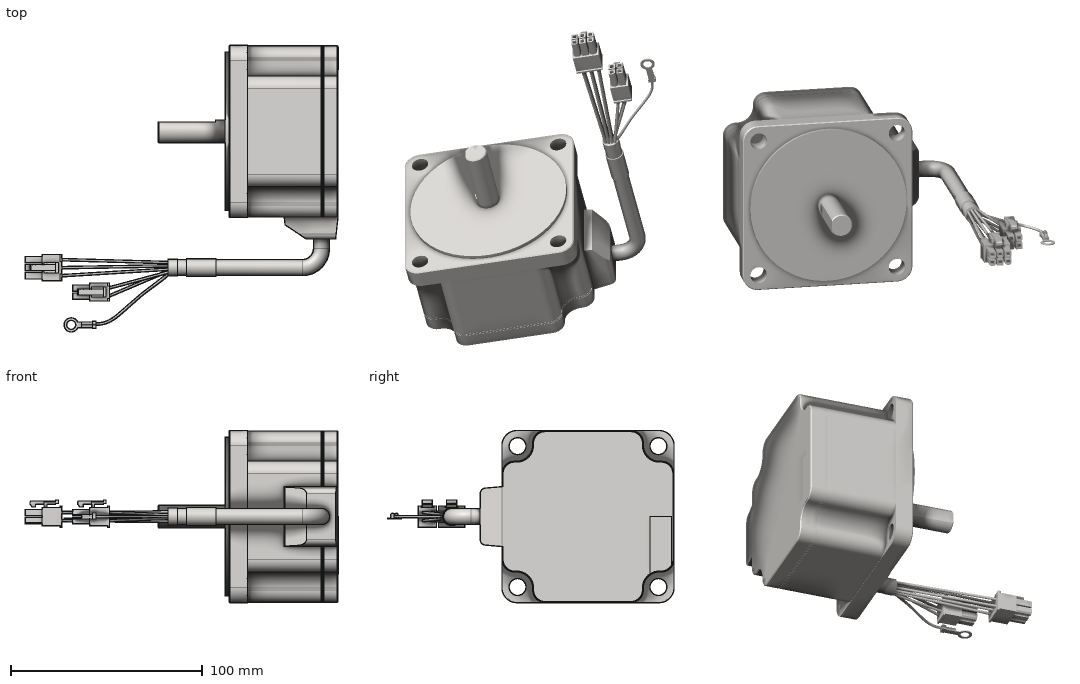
import cadquery as cq
import math


flange_size = 90.0
flange_thickness = 9.7
flange_corner_radius = 8.0
flange_edge_chamfer = 0.5
mount_hole_diameter = 8.7
mount_hole_spacing = 73.5

pilot_diameter = 83.0
pilot_height = 2.0

shaft_diameter = 12.0
shaft_length = 37.0
shaft_flat_length = 30.0
shaft_flat_depth = 1.0
shaft_tip_chamfer = 0.5

body_half = 44.8
body_rear = 57.0
body_rear_chamfer = 0.5
body_shoulder_radius = 6.4
body_flat_half = 22.5
corner_notch_radius = 8.4

seam_front = 48.1
seam_width = 0.5
seam_pitch = 1.0
seam_count = 2
seam_depth = 0.15

label_thickness = 0.2
label_y_min = 32.3
label_y_max = 43.7
label_height = 30.0

boot_front = 28.8
boot_rear = body_rear
boot_lip_front = 29.3
boot_lip_drop = 4.0
boot_slope_end = 40.5
boot_outer_rear = 55.75
boot_bottom = -56.3
boot_base_half_height = 15.7
boot_outer_half_height = 14.7
boot_edge_radius = 3.0

cable_diameter = 8.5
cable_outlet_x = 48.3
cable_y = -71.1
cable_bend_radius = 10.0
cable_end_x = -31.9
sleeve_diameter = 9.5
sleeve_start_x = -22.1
sleeve_length = 15.4
tape_diameter = 8.8
tape_length = 5.0
wire_diameter = 1.4
wire_root = 1.0
wire_seat = 0.3
power_wire_ends = [(2.6, 1.6), (0.9, 2.4), (-0.8, 2.4)]
signal_wire_ends = [(-2.2, 2.4), (-1.4, 0.85)]
ground_wire_end = -2.8
ground_wire_start_y = -100.6
ground_wire_waypoints = [(-57.9, -96.0), (-44.5, -84.4)]
ground_wire_end_slope = 0.9

pin_pitch = 4.2
cell_size = 3.4
cell_opening = 2.0
cell_depth = 5.0
cell_corner_chamfer = 0.8
cell_length = 8.9
connector_length = 19.3
connector_margin = 5.4
housing_half_height = 4.8
rear_rim_half_height = 5.6
rear_rim_thickness = 1.0
rear_rim_gap = 6.5

latch_arm_width = 3.1
latch_tail_width = 5.4
latch_front = 2.6
latch_hook_length = 3.0
latch_hook_slope = 1.2
latch_nose_bevel = 0.5
latch_hook_bottom = 4.9
latch_underside = 6.4
latch_tail_top = 7.6
latch_top = 8.25
latch_lip_top = 8.7
latch_lip_underside = 6.8
latch_lip_front = 16.0
latch_rear = 17.5
latch_stem_front = 9.9
latch_stem_thickness = 1.6

power_connector_x = -106.4
power_connector_y = -71.15
power_connector_columns = 3
signal_connector_x = -81.55
signal_connector_y = -83.85
signal_connector_columns = 2

ring_x = -82.3
ring_y = -101.0
ring_outer_diameter = 7.48
ring_hole_diameter = 4.6
ring_base = -1.2
ring_thickness = 0.55
ring_tongue_width = 3.1
barrel_front_x = -76.8
barrel_rear_x = -71.3
barrel_top = 1.0
crimp_rear_x = -69.3
crimp_lobe_radius = 1.0
crimp_top = 1.8



def box(x_range, y_range, z_range):
    """Axis-aligned block between pairs of limits."""
    sizes = [limits[1] - limits[0] for limits in (x_range, y_range, z_range)]
    corner = (x_range[0], y_range[0], z_range[0])
    return cq.Workplane("XY").box(*sizes, centered=False).translate(corner)


def rod_x(diameter, x_start, x_end, y=0.0, z=0.0):
    """Round bar along X."""
    return cq.Workplane("YZ", origin=(x_start, y, z)).circle(diameter / 2).extrude(x_end - x_start)




def turned(y, z, quarter):
    """Turn a point of the YZ plane about X by a number of quarter turns."""
    angle = -quarter * math.pi / 2
    return (
        y * math.cos(angle) - z * math.sin(angle),
        y * math.sin(angle) + z * math.cos(angle),
    )


def body_profile(x, inset=0.0):
    """Square section with a shouldered concave notch at each corner, on a plane across X."""
    half = body_half - inset
    radius = body_shoulder_radius - inset
    flat = body_flat_half
    wall = flat + radius
    notch_radius = corner_notch_radius + inset
    notch_end = wall + notch_radius
    shoulder_mid = radius * math.sin(math.pi / 4)
    notch_mid = notch_end - notch_radius * math.sin(math.pi / 4)
    shoulder_center = half - radius

    section = cq.Workplane("YZ", origin=(x, 0, 0)).moveTo(-flat, half)
    for quarter in range(4):
        first_shoulder_start = turned(flat, half, quarter)
        first_shoulder_mid = turned(flat + shoulder_mid, shoulder_center + shoulder_mid, quarter)
        first_shoulder_end = turned(wall, shoulder_center, quarter)
        notch_start = turned(wall, notch_end, quarter)
        notch_middle = turned(notch_mid, notch_mid, quarter)
        notch_finish = turned(notch_end, wall, quarter)
        second_shoulder_start = turned(shoulder_center, wall, quarter)
        second_shoulder_mid = turned(shoulder_center + shoulder_mid, flat + shoulder_mid, quarter)
        second_shoulder_end = turned(half, flat, quarter)
        section = section.lineTo(*first_shoulder_start)
        section = section.threePointArc(first_shoulder_mid, first_shoulder_end)
        section = section.lineTo(*notch_start)
        section = section.threePointArc(notch_middle, notch_finish)
        section = section.lineTo(*second_shoulder_start)
        section = section.threePointArc(second_shoulder_mid, second_shoulder_end)
    return section.close()


def make_flange():
    flange = cq.Workplane("YZ").rect(flange_size, flange_size).extrude(flange_thickness)
    flange = flange.edges("|X").fillet(flange_corner_radius)
    flange = flange.faces("<X").edges().chamfer(flange_edge_chamfer)
    holes = (
        cq.Workplane("YZ")
        .rect(mount_hole_spacing, mount_hole_spacing, forConstruction=True)
        .vertices()
        .circle(mount_hole_diameter / 2)
        .extrude(flange_thickness)
    )
    return flange.cut(holes)


def make_body():
    """Body behind the flange, with shallow parting grooves around it near the rear."""
    body = body_profile(flange_thickness).extrude(body_rear - flange_thickness)
    body = body.faces(">X").chamfer(body_rear_chamfer)
    for index in range(seam_count):
        x = seam_front + index * seam_pitch
        groove = body_profile(x).extrude(seam_width).cut(body_profile(x, seam_depth).extrude(seam_width))
        body = body.cut(groove)
    return body


def make_label():
    """Thin plate on the rear face, trimmed to the outline of the chamfered face."""
    plate = box(
        (body_rear, body_rear + label_thickness),
        (label_y_min, label_y_max),
        (-label_height, 0),
    )
    return plate.intersect(body_profile(body_rear, body_rear_chamfer).extrude(label_thickness))


def make_shaft():
    shaft = rod_x(shaft_diameter, -shaft_length, 0).faces("<X").chamfer(shaft_tip_chamfer)
    radius = shaft_diameter / 2
    flat = box(
        (-shaft_length, shaft_flat_length - shaft_length),
        (radius - shaft_flat_depth, radius),
        (-radius, radius),
    )
    return shaft.cut(flat)


def make_boot():
    """Sloped outlet on the -Y side; its outer faces draft inward and its long edges are round."""
    side = (
        cq.Workplane("XY", origin=(0, 0, -boot_base_half_height))
        .polyline(
            [
                (boot_front, -body_half),
                (boot_lip_front, -body_half - boot_lip_drop),
                (boot_slope_end, boot_bottom),
                (boot_outer_rear, boot_bottom),
                (boot_rear, -body_half),
            ]
        )
        .close()
        .extrude(2 * boot_base_half_height)
    )
    drafted = (
        cq.Workplane("YZ", origin=(boot_front, 0, 0))
        .polyline(
            [
                (-body_half, boot_base_half_height),
                (boot_bottom, boot_outer_half_height),
                (boot_bottom, -boot_outer_half_height),
                (-body_half, -boot_base_half_height),
            ]
        )
        .close()
        .extrude(boot_rear - boot_front)
        .faces("<Y")
        .edges("|X")
        .fillet(boot_edge_radius)
    )
    root = box(
        (boot_front, body_rear),
        (-body_half, -body_half + body_rear_chamfer),
        (-boot_base_half_height, boot_base_half_height),
    )
    return side.intersect(drafted).union(root)


def make_motor():
    pilot = rod_x(pilot_diameter, -pilot_height, 0)
    motor = make_flange().union(pilot).union(make_shaft())
    return motor.union(make_body()).union(make_label()).union(make_boot())




def column_positions(center_y, columns):
    """Y of each pin column, starting nearest the motor."""
    first = center_y + pin_pitch * (columns - 1) / 2
    return [first - pin_pitch * column for column in range(columns)]


def make_wire(start, end):
    direction = cq.Vector(*end) - cq.Vector(*start)
    wire = cq.Solid.makeCylinder(wire_diameter / 2, direction.Length, cq.Vector(*start), direction)
    return cq.Workplane(obj=wire)


def make_connector_wires(rear_x, pin_columns, cable_ends):
    """One wire per pin, from just inside the rear face of a connector into the cable end."""
    wires = []
    for pin_y, (end_offset, end_z) in zip(pin_columns, cable_ends):
        for side in (1, -1):
            pin = (rear_x - wire_seat, pin_y, side * pin_pitch / 2)
            cable_end = (cable_end_x + wire_root, cable_y + end_offset, side * end_z)
            wires.append(make_wire(pin, cable_end))
    return wires


def make_cable():
    bend_start_y = cable_y + cable_bend_radius
    bend_end_x = cable_outlet_x - cable_bend_radius
    bend_mid = cable_bend_radius * math.sin(math.pi / 4)
    path = (
        cq.Workplane("XY")
        .moveTo(cable_outlet_x, boot_bottom)
        .lineTo(cable_outlet_x, bend_start_y)
        .threePointArc((bend_end_x + bend_mid, bend_start_y - bend_mid), (bend_end_x, cable_y))
        .lineTo(cable_end_x, cable_y)
    )
    section = cq.Workplane("XZ", origin=(cable_outlet_x, boot_bottom, 0)).circle(cable_diameter / 2)
    cable = section.sweep(path)
    sleeve = rod_x(sleeve_diameter, sleeve_start_x, sleeve_start_x + sleeve_length, cable_y)
    tape = rod_x(tape_diameter, cable_end_x, cable_end_x + tape_length, cable_y)
    return cable.union(sleeve).union(tape)


def make_ground_wire():
    """Curved wire that leaves the ring terminal along X and climbs to the cable end."""
    start = (crimp_rear_x, ground_wire_start_y)
    end = (cable_end_x + wire_root, cable_y + ground_wire_end)
    points = [start, *ground_wire_waypoints, end]
    end_directions = [(1, 0), (1, ground_wire_end_slope)]
    path = cq.Workplane("XY").spline(points, tangents=end_directions)
    return cq.Workplane("YZ", origin=(*start, 0)).circle(wire_diameter / 2).sweep(path)


def make_harness():
    power_columns = column_positions(power_connector_y, power_connector_columns)
    signal_columns = column_positions(signal_connector_y, signal_connector_columns)
    power_rear = power_connector_x + connector_length
    signal_rear = signal_connector_x + connector_length
    wires = make_connector_wires(power_rear, power_columns, power_wire_ends)
    wires += make_connector_wires(signal_rear, signal_columns, signal_wire_ends)
    wires.append(make_ground_wire())
    harness = make_cable()
    for wire in wires:
        harness = harness.union(wire)
    return harness




def make_cell(y, z, chamfered):
    """Square terminal tube; a chamfered one has its two lower edges cut off."""
    half = cell_size / 2
    cell = box((0, cell_length), (y - half, y + half), (z - half, z + half))
    if chamfered:
        cell = cell.faces("<Z").edges("|X").chamfer(cell_corner_chamfer)
    opening_half = cell_opening / 2
    opening = box(
        (0, cell_depth),
        (y - opening_half, y + opening_half),
        (z - opening_half, z + opening_half),
    )
    return cell.cut(opening)


def make_latch():
    """Rocking lever: a hooked arm in front, a stem on the housing and a wider thumb tail behind."""
    arm_half = latch_arm_width / 2
    hook_rear = latch_front + latch_hook_length
    arm = (
        cq.Workplane("XZ", origin=(0, arm_half, 0))
        .polyline(
            [
                (latch_front, latch_top - latch_nose_bevel),
                (latch_front + latch_nose_bevel, latch_top),
                (latch_lip_front, latch_top),
                (latch_lip_front, latch_underside),
                (hook_rear, latch_underside),
                (hook_rear, latch_hook_bottom),
                (latch_front + latch_hook_slope, latch_hook_bottom),
                (latch_front, latch_underside),
            ]
        )
        .close()
        .extrude(latch_arm_width)
    )
    tail_range = (-latch_tail_width / 2, latch_tail_width / 2)
    stem_rear = latch_stem_front + latch_stem_thickness
    stem = box((latch_stem_front, stem_rear), tail_range, (housing_half_height, latch_tail_top))
    tail = box((latch_stem_front, latch_lip_front), tail_range, (latch_underside, latch_tail_top))
    lip = box((latch_lip_front, latch_rear), tail_range, (latch_lip_underside, latch_lip_top))
    return arm.union(stem).union(tail).union(lip)


def make_connector(front_x, center_y, columns):
    """Two-row connector housing with its terminal tubes at the -X end."""
    half_width = (pin_pitch * (columns - 1) + connector_margin) / 2
    width_range = (-half_width, half_width)
    connector = box(
        (cell_length, connector_length),
        width_range,
        (-housing_half_height, housing_half_height),
    )
    rim = box(
        (connector_length - rear_rim_thickness, connector_length),
        width_range,
        (-rear_rim_half_height, rear_rim_half_height),
    )
    rim_gap = box(
        (connector_length - rear_rim_thickness, connector_length),
        (-rear_rim_gap / 2, rear_rim_gap / 2),
        (housing_half_height, rear_rim_half_height),
    )
    connector = connector.union(rim.cut(rim_gap))
    for column, y in enumerate(column_positions(0, columns)):
        upper_cell = make_cell(y, pin_pitch / 2, chamfered=column % 2 == 1)
        lower_cell = make_cell(y, -pin_pitch / 2, chamfered=column % 2 == 0)
        connector = connector.union(upper_cell).union(lower_cell)
    return connector.union(make_latch()).translate((front_x, center_y, 0))




def make_lobe_pair(x_start, x_end, lobe_radius, top):
    """Two rolled ears side by side, standing on the terminal base."""
    lobe_z = top - lobe_radius
    pair = box(
        (x_start, x_end),
        (-2 * lobe_radius, 2 * lobe_radius),
        (ring_base, lobe_z),
    )
    for side in (1, -1):
        pair = pair.union(rod_x(2 * lobe_radius, x_start, x_end, side * lobe_radius, lobe_z))
    return pair


def make_ring_terminal():
    base_top = ring_base + ring_thickness
    ring = cq.Workplane("XY", origin=(ring_x, 0, ring_base)).circle(ring_outer_diameter / 2)
    ring = ring.extrude(ring_thickness)
    tongue_half = ring_tongue_width / 2
    tongue = box((ring_x, barrel_rear_x), (-tongue_half, tongue_half), (ring_base, base_top))
    barrel = make_lobe_pair(barrel_front_x, barrel_rear_x, tongue_half / 2, barrel_top)
    crimp = make_lobe_pair(barrel_rear_x, crimp_rear_x, crimp_lobe_radius, crimp_top)
    hole = cq.Workplane("XY", origin=(ring_x, 0, ring_base)).circle(ring_hole_diameter / 2)
    hole = hole.extrude(ring_thickness)
    terminal = ring.union(tongue).cut(hole).union(barrel).union(crimp)
    return terminal.translate((0, ring_y, 0))


motor = make_motor()
power_connector = make_connector(power_connector_x, power_connector_y, power_connector_columns)
signal_connector = make_connector(signal_connector_x, signal_connector_y, signal_connector_columns)
ring_terminal = make_ring_terminal()
harness = make_harness().cut(power_connector).cut(signal_connector)

result = cq.Compound.makeCompound(
    [
        motor.solids().val(),
        harness.solids().val(),
        power_connector.solids().val(),
        signal_connector.solids().val(),
        ring_terminal.solids().val(),
    ]
)